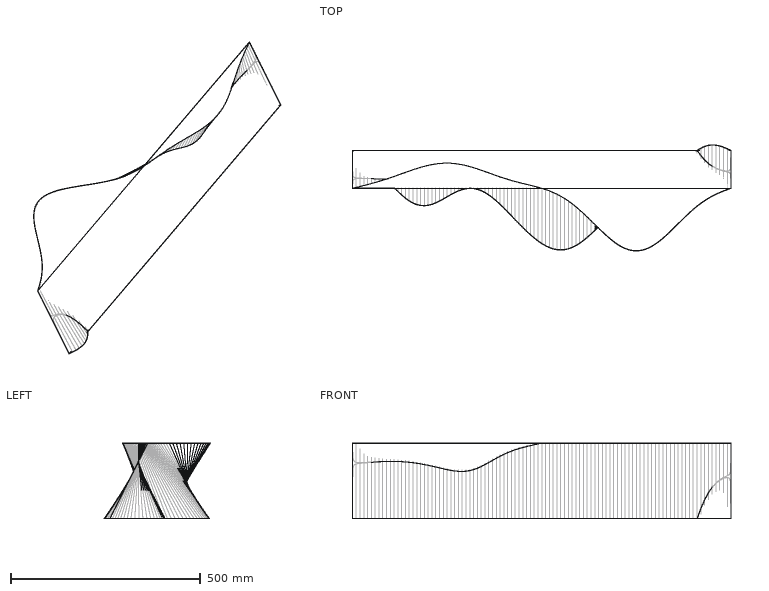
import cadquery as cq
import math

length = 1000.0
height = 200.0
lean = 100.0

facet_count = 100
facet_length = length / facet_count

top_wave = [-32.0, 99.0, -23.0, 0.0, 12.0, -17.0, 3.0]
base_wave = [-203.0, 6.0, 16.0, -44.0, -16.0, 0.0, 19.0, -2.0, 8.0]

overlap = 0.1

front_limit = -300.0
rear_limit = 350.0
far_limit = 300.0


def wave_offset(amplitudes, x):
    """Offset in Y of a wave line from the back face at position x."""
    return sum(
        amplitude * math.sin(number * math.pi * x / length)
        for number, amplitude in enumerate(amplitudes, start=1)
    )


def wave_section(amplitudes, back_y, z, outer_y):
    """Closed wire between one wave line and Y = outer_y."""
    stations = [i * facet_length for i in range(facet_count + 1)]
    points = [cq.Vector(x, back_y + wave_offset(amplitudes, x), z) for x in stations]
    points.append(cq.Vector(length, outer_y, z))
    points.append(cq.Vector(0, outer_y, z))
    return cq.Wire.makePolygon(points, close=True)


def rear_block(back_shift):
    """Block along X behind the back face, its front side moved rearward by back_shift."""
    profile = [
        (lean + back_shift, 0),
        (rear_limit, 0),
        (rear_limit, height),
        (back_shift, height),
    ]
    return cq.Workplane("YZ").polyline(profile).close().extrude(length)


def wave_block(outer_y):
    """Block between the wavy face and the plane Y = outer_y."""
    base_section = wave_section(base_wave, lean, 0, outer_y)
    top_section = wave_section(top_wave, 0, height, outer_y)
    return cq.Workplane(cq.Solid.makeLoft([base_section, top_section], True))


front_body = wave_block(far_limit).cut(rear_block(overlap))

rear_bodies = wave_block(front_limit).intersect(rear_block(-overlap))

result = front_body.union(rear_bodies)